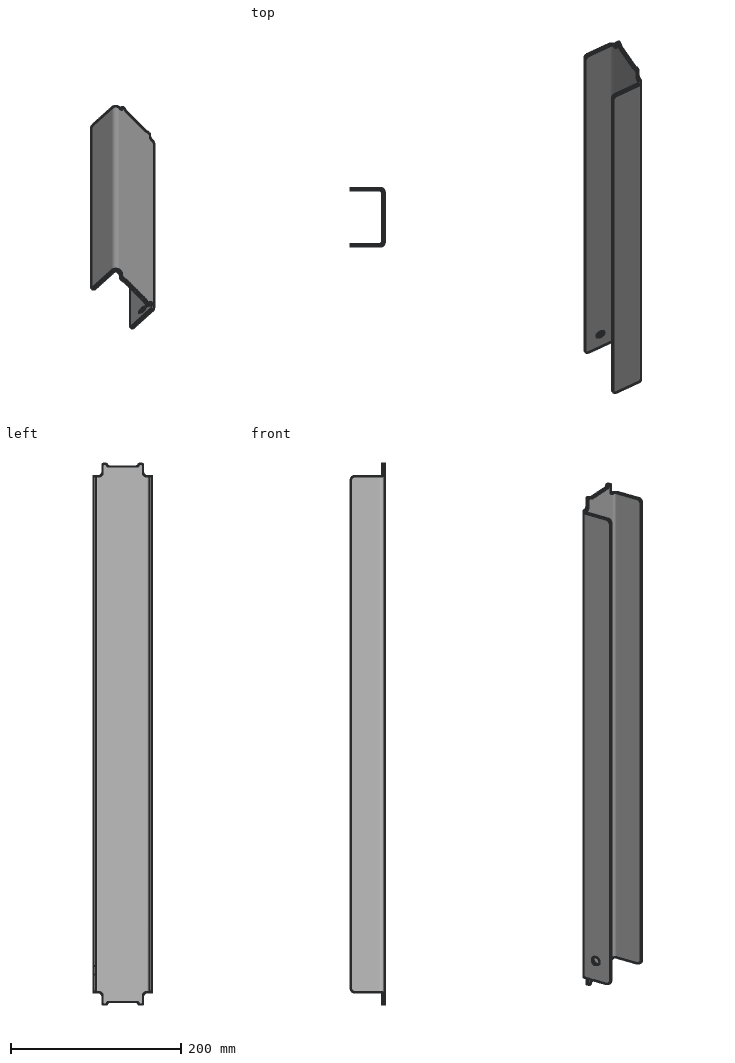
import cadquery as cq

depth = 40.0
width = 69.0
length = 635.5

thickness = 3.0
inner_bend_radius = 3.0
outer_bend_radius = inner_bend_radius + thickness

end_setback = 14.5
flange_length = length - 2 * end_setback
flange_corner_radius = 5.0

tab_width = 48.0
tab_root_radius = 4.0
ear_width = 5.5
ear_height = 3.0
ear_tip_radius = 2.0
recess_root_radius = 2.0
recess_width = tab_width - 2 * ear_width

hole_diameter = 10.5
hole_from_open_edge = 20.0
hole_from_flange_end = 26.0


def rounded_channel(bend_radius, inset):
    """Solid block with two rounded edges on +X, inset from the outer faces of the channel."""
    block = cq.Workplane("XY").box(depth, width - 2 * inset, length)
    return block.edges("|Z and >X").fillet(bend_radius).translate((-inset, 0, 0))


def channel():
    """Bent U-section of constant thickness over the full length."""
    return rounded_channel(outer_bend_radius, 0).cut(rounded_channel(inner_bend_radius, thickness))


def corner_notch():
    """Cutter that shortens the +Y flange at the top end, rounded at the root of the tab."""
    notch_width = (width - tab_width) / 2
    notch = cq.Workplane("XY").box(depth, notch_width, end_setback)
    notch = notch.edges("|X and <Y and <Z").fillet(tab_root_radius)
    return notch.translate((0, (width - notch_width) / 2, (length - end_setback) / 2))


def tab_recess():
    """Cutter for the shallow recess between the ears of the top tab."""
    recess = cq.Workplane("XY").box(depth, recess_width, ear_height)
    recess = recess.edges("|X and <Z").fillet(recess_root_radius)
    return recess.translate((0, 0, (length - ear_height) / 2))


def end_cutters():
    """Notches and recesses for both ends, mirrored about the middle planes."""
    top_notches = corner_notch().union(corner_notch().mirror("XZ"))
    top = top_notches.union(tab_recess())
    return top.union(top.mirror("XY"))


def round_free_corners(body):
    """Round the flange corners on the open side and the tips of the ears."""
    body = body.edges("|Y and <X").fillet(flange_corner_radius)
    for end_face in (">Z", "<Z"):
        body = body.faces(end_face).edges("|X").fillet(ear_tip_radius)
    return body


def flange_hole():
    """Drill for the hole in the +Y flange only."""
    x = -depth / 2 + hole_from_open_edge
    z = -flange_length / 2 + hole_from_flange_end
    drill = cq.Workplane("XZ").circle(hole_diameter / 2).extrude(-width)
    return drill.translate((x, 0, z))


result = round_free_corners(channel().cut(end_cutters())).cut(flange_hole())